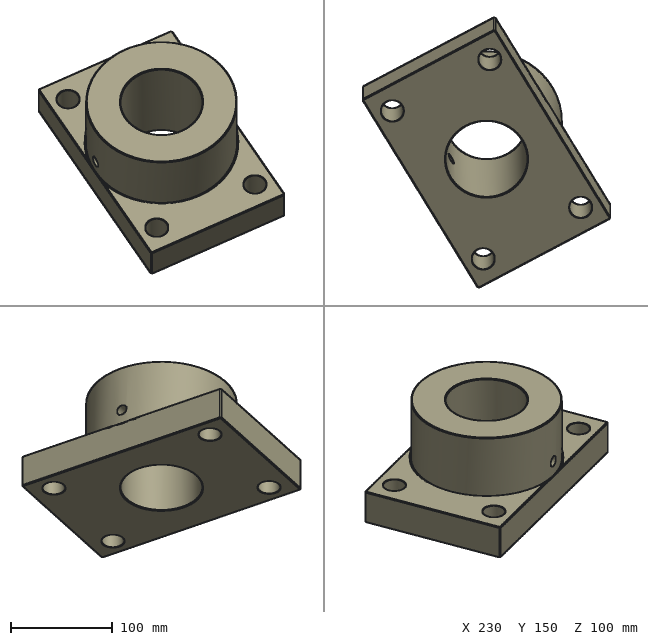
import cadquery as cq

plate_length = 230.0
plate_width = 150.0
plate_height = 35.0
plate_chamfer = 1.0
corner_chamfer = 1.4

total_height = 100.0
boss_diameter = 148.1
bore_diameter = 80.0
boss_chamfer = 1.0
bore_chamfer = 1.0

groove_diameter = 151.0
groove_depth = 1.2

hole_diameter = 22.0
hole_spacing_x = 180.0
hole_spacing_y = 110.0
hole_chamfer = 0.5

oil_hole_diameter = 10.8
oil_hole_height = 50.0


def make_plate():
    """Rectangular plate with all edges chamfered, resting on Z = 0."""
    block = cq.Workplane("XY").box(
        plate_length, plate_width, plate_height, centered=(True, True, False)
    )
    block = block.edges("|Z").chamfer(corner_chamfer)
    return block.faces("<Z or >Z").edges().chamfer(plate_chamfer)


def make_groove():
    """Disc whose rim sinks the relief groove; the boss refills its middle."""
    return (
        cq.Workplane("XY", origin=(0, 0, plate_height - groove_depth))
        .circle(groove_diameter / 2)
        .extrude(groove_depth)
    )


def make_boss():
    """Cylinder from inside the plate up to the chamfered top rim."""
    base = plate_height / 2
    return (
        cq.Workplane("XY", origin=(0, 0, base))
        .circle(boss_diameter / 2)
        .extrude(total_height - base)
        .faces(">Z")
        .edges()
        .chamfer(boss_chamfer)
    )


def make_chamfered_hole(diameter, height, chamfer):
    """Cutter for a vertical through hole, widened at both mouths."""
    radius = diameter / 2
    mouth_radius = radius + chamfer
    return (
        cq.Workplane("XZ")
        .moveTo(0, 0)
        .lineTo(mouth_radius, 0)
        .lineTo(radius, chamfer)
        .lineTo(radius, height - chamfer)
        .lineTo(mouth_radius, height)
        .lineTo(0, height)
        .close()
        .revolve(360, (0, 0), (0, 1))
    )


def make_oil_hole():
    """Cutter from the -Y side of the boss into the bore."""
    return (
        cq.Workplane("XZ", origin=(0, 0, oil_hole_height))
        .circle(oil_hole_diameter / 2)
        .extrude(plate_width / 2)
    )


result = make_plate().cut(make_groove()).union(make_boss())
result = result.cut(make_chamfered_hole(bore_diameter, total_height, bore_chamfer))

mounting_hole = make_chamfered_hole(hole_diameter, plate_height, hole_chamfer)
for side_x in (-1, 1):
    for side_y in (-1, 1):
        position = (side_x * hole_spacing_x / 2, side_y * hole_spacing_y / 2, 0)
        result = result.cut(mounting_hole.translate(position))

result = result.cut(make_oil_hole())